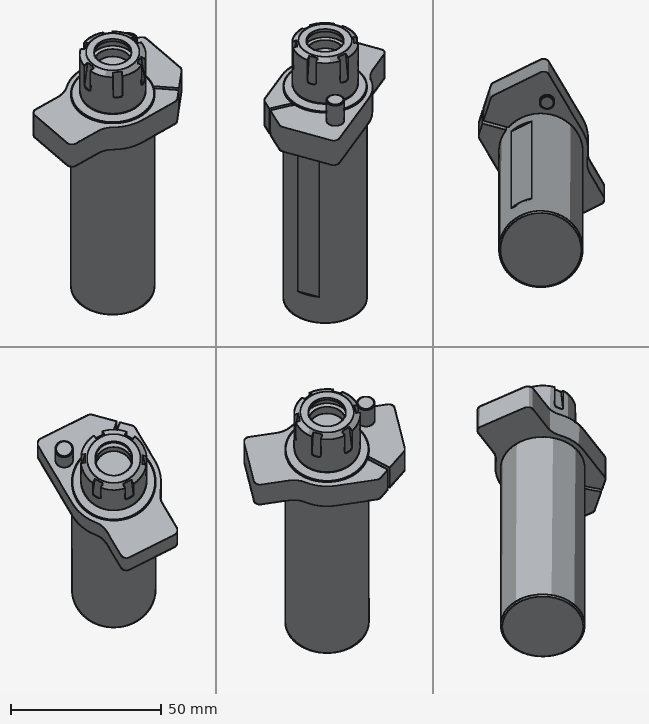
import cadquery as cq
import math

TOTAL_HEIGHT = 108.4
PLATE_BOTTOM = 78.5
PLATE_THICKNESS = 10.3

SHANK_DIAMETER = 28.0
SHANK_TOP = 89.2
SHANK_BOTTOM_CHAMFER = 0.5
SHANK_TOP_CHAMFER = 0.27
FLAT_BOTTOM = 11.3
FLAT_TOP = 72.8
FLAT_DEPTH = 0.5

PLATE_WIDTH = 31.5
PLATE_BACK = 25.6
PLATE_FRONT = -26.5
TONGUE_WIDTH = 21.1
WAIST_RADIUS = 8.2
CORNER_RADIUS = 2.1
BEVEL_START_X = 4.9
SLIT_WIDTH = 1.1
SLIT_OFFSET = 6.8

PIN_X = -10.5
PIN_Y = 15.2
PIN_DIAMETER = 6.0
PIN_TOP = 97.6
PIN_TIP_DIAMETER = 5.0
PIN_TIP_LENGTH = 1.0
PIN_CHAMFER = 0.3

NUT_DIAMETER = 22.0
NUT_BOTTOM = 90.0
NUT_TOP_DIAMETER = 17.8
NUT_TOP_BEVEL_HEIGHT = 1.1
NUT_BOTTOM_CHAMFER_HEIGHT = 0.5
NUT_BOTTOM_CHAMFER_WIDTH = 0.2
NECK_DIAMETER = 18.2
BORE_DIAMETER = 12.5
BORE_DEPTH = 8.1
BORE_LIP_HEIGHT = 1.1
UNDERCUT_DIAMETER = 15.5
UNDERCUT_DEPTH = 4.7

SLOT_COUNT = 6
SLOT_WIDTH = 3.1
SLOT_BOTTOM = 97.8
SLOT_FLOOR_TOP_RADIUS = 9.4
SLOT_FLOOR_BOTTOM_RADIUS = 10.8
SLOT_END_RADIUS = 1.0


def cylinder(diameter, bottom, top, x=0, y=0):
    base = cq.Workplane("XY", origin=(x, y, bottom))
    return base.circle(diameter / 2).extrude(top - bottom)


def make_shank():
    shank = cylinder(SHANK_DIAMETER, 0, SHANK_TOP)
    shank = shank.faces("<Z").chamfer(SHANK_BOTTOM_CHAMFER)
    shank = shank.faces(">Z").chamfer(SHANK_TOP_CHAMFER)
    flat = (
        cq.Workplane("XY", origin=(0, SHANK_DIAMETER / 2 - FLAT_DEPTH, FLAT_BOTTOM))
        .box(SHANK_DIAMETER, SHANK_DIAMETER, FLAT_TOP - FLAT_BOTTOM, centered=(True, False, False))
    )
    return shank.cut(flat)


def make_plate():
    side = PLATE_WIDTH / 2
    tongue = TONGUE_WIDTH / 2
    waist_x = tongue + WAIST_RADIUS
    waist_angle = math.acos(waist_x / (side + WAIST_RADIUS))
    waist_y = -(side + WAIST_RADIUS) * math.sin(waist_angle)

    def side_point(angle):
        return side * math.cos(angle), -side * math.sin(angle)

    join_x, join_y = side_point(waist_angle)
    side_mid_x, side_mid_y = side_point(waist_angle / 2)
    waist_mid_angle = math.pi - waist_angle / 2
    waist_mid_x = waist_x + WAIST_RADIUS * math.cos(waist_mid_angle)
    waist_mid_y = waist_y + WAIST_RADIUS * math.sin(waist_mid_angle)
    bevel_size = side - BEVEL_START_X

    plate = (
        cq.Workplane("XY", origin=(0, 0, PLATE_BOTTOM))
        .moveTo(-side, PLATE_BACK)
        .lineTo(BEVEL_START_X, PLATE_BACK)
        .lineTo(side, PLATE_BACK - bevel_size)
        .lineTo(side, 0)
        .threePointArc((side_mid_x, side_mid_y), (join_x, join_y))
        .threePointArc((waist_mid_x, waist_mid_y), (tongue, waist_y))
        .lineTo(tongue, PLATE_FRONT)
        .lineTo(-tongue, PLATE_FRONT)
        .lineTo(-tongue, waist_y)
        .threePointArc((-waist_mid_x, waist_mid_y), (-join_x, join_y))
        .threePointArc((-side_mid_x, side_mid_y), (-side, 0))
        .close()
        .extrude(PLATE_THICKNESS)
    )
    plate = plate.edges("|Z and (>Y or <Y)").fillet(CORNER_RADIUS)
    plate_middle = PLATE_BOTTOM + PLATE_THICKNESS / 2
    bevel_end = cq.NearestToPointSelector((side, PLATE_BACK - bevel_size, plate_middle))
    plate = plate.edges(bevel_end).fillet(CORNER_RADIUS)

    slit = (
        cq.Workplane("XY")
        .box(PLATE_WIDTH, SLIT_WIDTH, PLATE_THICKNESS, centered=(False, True, False))
        .rotate((0, 0, 0), (0, 0, 1), 45)
        .translate((0, SLIT_OFFSET, PLATE_BOTTOM))
    )
    return plate.cut(slit)


def make_pin():
    pin = cylinder(PIN_DIAMETER, PLATE_BOTTOM, PIN_TOP, PIN_X, PIN_Y)
    pin = pin.faces(">Z").chamfer(PIN_CHAMFER)
    tip = cylinder(PIN_TIP_DIAMETER, PLATE_BOTTOM - PIN_TIP_LENGTH, PLATE_BOTTOM, PIN_X, PIN_Y)
    tip = tip.faces("<Z").chamfer(PIN_CHAMFER)
    return pin.union(tip)


def make_nut():
    bevel_width = (NUT_DIAMETER - NUT_TOP_DIAMETER) / 2
    nut = cylinder(NUT_DIAMETER, NUT_BOTTOM, TOTAL_HEIGHT)
    bevel = (
        cq.Workplane("XZ")
        .moveTo(NUT_DIAMETER / 2, TOTAL_HEIGHT)
        .lineTo(NUT_DIAMETER / 2 - bevel_width, TOTAL_HEIGHT)
        .lineTo(NUT_DIAMETER / 2, TOTAL_HEIGHT - NUT_TOP_BEVEL_HEIGHT)
        .close()
        .revolve(360, (0, 0), (0, 1))
    )
    bottom_chamfer = (
        cq.Workplane("XZ")
        .moveTo(NUT_DIAMETER / 2, NUT_BOTTOM)
        .lineTo(NUT_DIAMETER / 2 - NUT_BOTTOM_CHAMFER_WIDTH, NUT_BOTTOM)
        .lineTo(NUT_DIAMETER / 2, NUT_BOTTOM + NUT_BOTTOM_CHAMFER_HEIGHT)
        .close()
        .revolve(360, (0, 0), (0, 1))
    )
    nut = nut.cut(bevel).cut(bottom_chamfer)

    slot_profile = (
        cq.Workplane("YZ")
        .moveTo(SLOT_FLOOR_BOTTOM_RADIUS, SLOT_BOTTOM)
        .lineTo(SLOT_FLOOR_TOP_RADIUS, TOTAL_HEIGHT)
        .lineTo(NUT_DIAMETER, TOTAL_HEIGHT)
        .lineTo(NUT_DIAMETER, SLOT_BOTTOM)
        .close()
    )
    slot = (
        slot_profile
        .extrude(SLOT_WIDTH / 2, both=True)
        .edges("|Y and <Z")
        .fillet(SLOT_END_RADIUS)
    )
    for index in range(SLOT_COUNT):
        nut = nut.cut(slot.rotate((0, 0, 0), (0, 0, 1), index * 360 / SLOT_COUNT))

    nut = nut.cut(cylinder(BORE_DIAMETER, TOTAL_HEIGHT - BORE_DEPTH, TOTAL_HEIGHT))
    undercut = (
        cq.Workplane("XZ")
        .moveTo(0, TOTAL_HEIGHT - BORE_LIP_HEIGHT)
        .lineTo(BORE_DIAMETER / 2, TOTAL_HEIGHT - BORE_LIP_HEIGHT)
        .lineTo(UNDERCUT_DIAMETER / 2, TOTAL_HEIGHT - UNDERCUT_DEPTH)
        .lineTo(0, TOTAL_HEIGHT - UNDERCUT_DEPTH)
        .close()
        .revolve(360, (0, 0), (0, 1))
    )
    nut = nut.cut(undercut)
    neck = cylinder(NECK_DIAMETER, SHANK_TOP, NUT_BOTTOM)
    return nut.union(neck)


result = make_shank().union(make_plate()).union(make_pin()).union(make_nut())